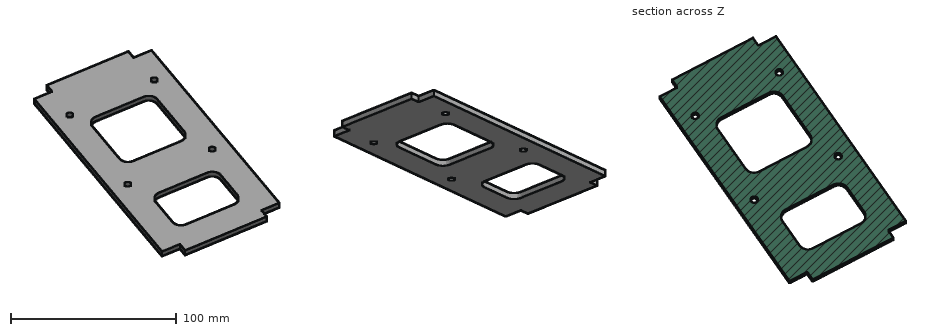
import cadquery as cq

length = 165.1
width = 82.5
thickness = 4.1

notch_length = 6.3
notch_width = 12.5

window_width = 45.5
window_radius = 6.0
large_window_length = 44.2
large_window_x = -22.0
small_window_length = 31.7
small_window_x = 47.5

hole_diameter = 4.1
hole_spacing_x = 69.2
hole_spacing_y = 59.5
hole_pattern_x = -18.8


def make_plate():
    """Plate with notched corners: a full-width body crossed by a full-length strip."""
    on_base = (True, True, False)
    body = cq.Workplane("XY").box(length - 2 * notch_length, width, thickness, centered=on_base)
    strip = cq.Workplane("XY").box(length, width - 2 * notch_width, thickness, centered=on_base)
    return body.union(strip)


def make_window(center_x, window_length):
    """Cutting block for a window with rounded corners."""
    return (
        cq.Workplane("XY")
        .center(center_x, 0)
        .rect(window_length, window_width)
        .extrude(thickness)
        .edges("|Z")
        .fillet(window_radius)
    )


def make_holes():
    """Cutting cylinders for the mounting holes."""
    return (
        cq.Workplane("XY")
        .center(hole_pattern_x, 0)
        .rect(hole_spacing_x, hole_spacing_y, forConstruction=True)
        .vertices()
        .circle(hole_diameter / 2)
        .extrude(thickness)
    )


result = (
    make_plate()
    .cut(make_window(large_window_x, large_window_length))
    .cut(make_window(small_window_x, small_window_length))
    .cut(make_holes())
)